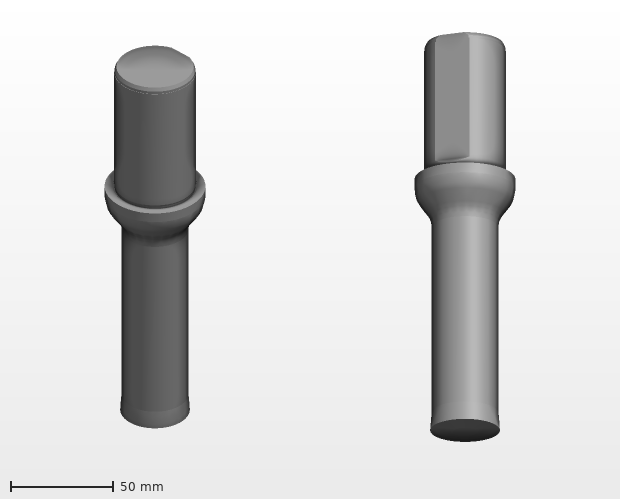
import cadquery as cq
import math

total_length = 201.0

shank_radius = 40.0 / 2
relief_radius = 39.5 / 2
top_band_bottom = 197.8
top_chamfer_height = 1.8
top_face_radius = 18.9
neck_height = 0.8
neck_chamfer_height = 0.8

flat_offset = 17.9
flat_bottom = 136.0

collar_radius = 49.5 / 2
collar_top = 131.3
collar_rim_bottom = 126.2
collar_convex_radius = 15.0
groove_radius = 20.7
groove_depth = 0.5

stem_radius = 32.8 / 2
flare_bottom_z = 106.3
head_top = 10.0
head_edge_radius = 17.0
point_radius = 6.0
head_edge_z = 0.8
head_flare_bulge = 0.1


def collar_inflection_point():
    """Point where the convex collar turns into the concave flare of the stem."""
    drop = collar_rim_bottom - flare_bottom_z
    step = collar_radius - stem_radius
    radius_sum = (drop**2 + step**2) / (2 * step)
    sweep = math.asin(drop / radius_sum)
    return (
        collar_radius - collar_convex_radius * (1 - math.cos(sweep)),
        collar_rim_bottom - collar_convex_radius * math.sin(sweep),
    )


def make_holder():
    """Turned shank, collar and stem, with a flat on the shank."""
    collar_curve = [collar_inflection_point(), (collar_radius, collar_rim_bottom)]
    upward = (0, 1)
    neck_top = collar_top + neck_height
    holder = (
        cq.Workplane("XZ")
        .moveTo(0, head_top)
        .lineTo(stem_radius, head_top)
        .lineTo(stem_radius, flare_bottom_z)
        .spline(collar_curve, tangents=[upward, upward], includeCurrent=True)
        .lineTo(collar_radius, collar_top)
        .lineTo(groove_radius, collar_top)
        .lineTo(groove_radius, collar_top - groove_depth)
        .lineTo(relief_radius, collar_top - groove_depth)
        .lineTo(relief_radius, neck_top)
        .lineTo(shank_radius, neck_top + neck_chamfer_height)
        .lineTo(shank_radius, top_band_bottom)
        .lineTo(relief_radius, top_band_bottom)
        .lineTo(relief_radius, total_length - top_chamfer_height)
        .lineTo(top_face_radius, total_length)
        .lineTo(0, total_length)
        .close()
        .revolve(360, (0, 0), (0, 1))
    )
    return holder.cut(make_flat_cutter())


def make_flat_cutter():
    """Prism that cuts the flat, with a 45 degree run-out at its lower end."""
    flat_depth = shank_radius - flat_offset
    return (
        cq.Workplane("YZ")
        .moveTo(flat_offset, total_length)
        .lineTo(flat_offset, flat_bottom)
        .lineTo(shank_radius, flat_bottom - flat_depth)
        .lineTo(shank_radius, total_length)
        .close()
        .extrude(shank_radius, both=True)
    )


def make_cutting_head():
    """Slightly flared head below the stem, with a shallow blunt conical point."""
    flare_middle = (
        (stem_radius + head_edge_radius) / 2 + head_flare_bulge,
        (head_top + head_edge_z) / 2,
    )
    return (
        cq.Workplane("XZ")
        .moveTo(0, 0)
        .lineTo(point_radius, 0)
        .lineTo(head_edge_radius, head_edge_z)
        .threePointArc(flare_middle, (stem_radius, head_top))
        .lineTo(0, head_top)
        .close()
        .revolve(360, (0, 0), (0, 1))
    )


holder = make_holder()
cutting_head = make_cutting_head()
result = cq.Compound.makeCompound([holder.val(), cutting_head.val()])